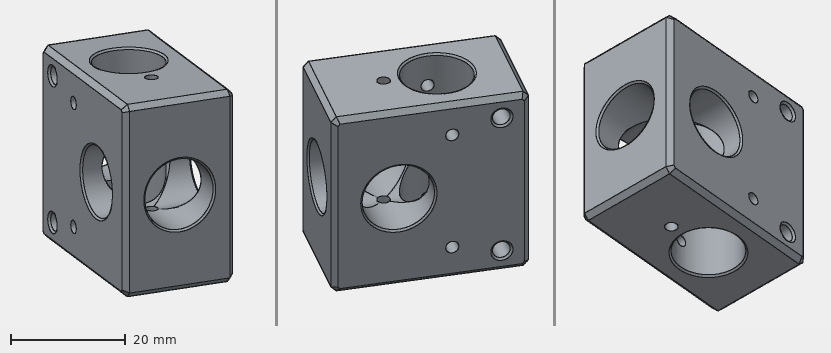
import cadquery as cq

side = 35.55
depth = 21.1
edge_chamfer = 1.0

bore_diameter = 13.0
bore_chamfer = 0.35
front_bore_x = 5.8
vertical_bore_x = -3.8

mount_diameter = 3.2
mount_chamfer = 0.4
mount_x = -12.73
mount_z = 13.55

pin_diameter = 2.35
pin_z = 11.45

front_plane = cq.Workplane("XZ", origin=(0, depth / 2, 0))
top_plane = cq.Workplane("XY", origin=(0, 0, -side / 2))
side_plane = cq.Workplane("YZ", origin=(-side / 2, 0, 0))


def through_hole(plane, center, length, diameter, chamfer=0):
    """Cutter for a hole of the given length, with an optional chamfer at both mouths."""
    local = plane.center(*center)
    radius = diameter / 2
    cutter = local.circle(radius).extrude(length)
    if chamfer > 0:
        mouth = radius + chamfer
        start_flare = local.circle(mouth).workplane(offset=chamfer).circle(radius).loft()
        last = local.workplane(offset=length - chamfer)
        end_flare = last.circle(radius).workplane(offset=chamfer).circle(mouth).loft()
        cutter = cutter.union(start_flare).union(end_flare)
    return cutter


result = (
    cq.Workplane("XY").box(side, depth, side)
    .edges("|Y").chamfer(edge_chamfer)
    .faces("<Y or >Y").edges().chamfer(edge_chamfer)
)

result = result.cut(through_hole(front_plane, (front_bore_x, 0), depth, bore_diameter, bore_chamfer))
result = result.cut(through_hole(top_plane, (vertical_bore_x, 0), side, bore_diameter, bore_chamfer))
result = result.cut(through_hole(side_plane, (0, 0), side, bore_diameter, bore_chamfer))

for sign in (-1, 1):
    mount_center = (mount_x, sign * mount_z)
    pin_center = (vertical_bore_x, sign * pin_z)
    result = result.cut(through_hole(front_plane, mount_center, depth, mount_diameter, mount_chamfer))
    result = result.cut(through_hole(front_plane, pin_center, depth, pin_diameter))

result = result.cut(through_hole(top_plane, (front_bore_x, 0), side, pin_diameter))